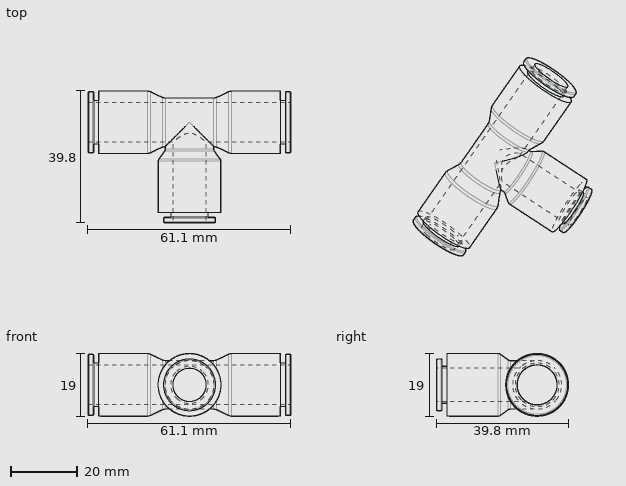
import cadquery as cq

body_radius = 9.5
waist_radius = 7.35
lip_round = 0.35

run = dict(
    taper_start=7.75,
    taper_end=12.2,
    taper_blend=2.15,
    body_end=27.4,
    collar_start=28.85,
    collar_end=30.55,
    neck_radius=6.6,
    collar_radius=9.25,
    bore_radius=6.0,
)

branch = dict(
    taper_start=8.45,
    taper_end=11.4,
    taper_blend=1.1,
    body_end=27.2,
    collar_start=28.6,
    collar_end=30.3,
    neck_radius=5.6,
    collar_radius=7.8,
    bore_radius=5.0,
)


def port_plane(direction):
    """Plane through the tee centre whose normal points out along a port."""
    return cq.Plane(origin=(0, 0, 0), xDir=(0, 0, 1), normal=direction)


def cylinder(plane, radius, start, end):
    return cq.Workplane(plane).workplane(offset=start).circle(radius).extrude(end - start)


def sleeve(plane, port):
    """Waist that flares smoothly into the port's wide body."""
    outline = [
        (0, 0),
        (waist_radius, 0),
        (waist_radius, port["taper_start"]),
        (body_radius, port["taper_end"]),
        (body_radius, port["body_end"]),
        (0, port["body_end"]),
    ]
    solid = cq.Workplane("XZ").polyline(outline).close().revolve(360, (0, 0, 0), (0, 1, 0))
    taper_rims = cq.selectors.BoxSelector(
        (-2 * body_radius, -2 * body_radius, port["taper_start"] / 2),
        (2 * body_radius, 2 * body_radius, (port["taper_end"] + port["body_end"]) / 2),
    )
    solid = solid.edges(taper_rims).edges("%CIRCLE").fillet(port["taper_blend"])
    return cq.Workplane(solid.val().moved(cq.Location(plane)))


def release_collar(plane, port):
    """Thin neck and round-rimmed collar at the mouth of the port."""
    neck = cylinder(plane, port["neck_radius"], port["body_end"], port["collar_start"])
    collar = cylinder(plane, port["collar_radius"], port["collar_start"], port["collar_end"])
    return neck.union(collar.edges("%CIRCLE").fillet(lip_round))


ports = [((1, 0, 0), run), ((-1, 0, 0), run), ((0, -1, 0), branch)]

result = cq.Workplane()
for direction, port in ports:
    plane = port_plane(direction)
    result = result.union(sleeve(plane, port)).union(release_collar(plane, port))
for direction, port in ports:
    result = result.cut(cylinder(port_plane(direction), port["bore_radius"], 0, port["collar_end"]))